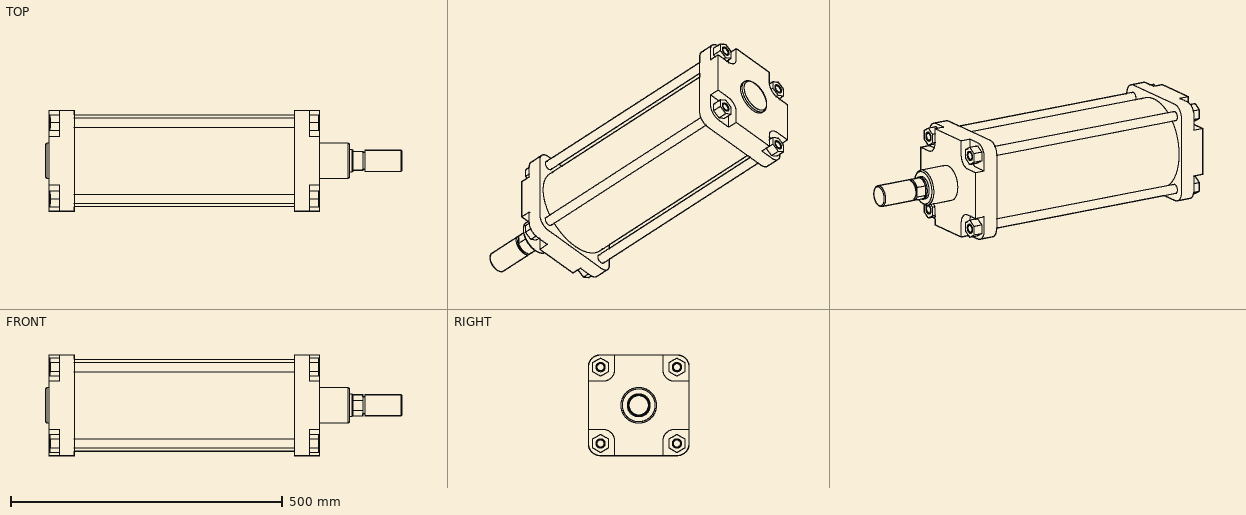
import cadquery as cq
import math

total_length = 658.0
plug_length = 6.5
cap_thickness = 47.0
barrel_length = 406.0
boss_length = 55.0

rear_cap_outer_x = plug_length
rear_cap_inner_x = rear_cap_outer_x + cap_thickness
front_cap_inner_x = rear_cap_inner_x + barrel_length
front_cap_outer_x = front_cap_inner_x + cap_thickness

cap_width = 186.0
corner_radius = 22.5
recess_size = 49.0
recess_depth = 19.0
recess_radius = 22.0
boss_radius = 33.0
boss_chamfer = 2.5

barrel_radius = 85.0

tie_rod_offset = 70.5
tie_rod_radius = 8.5
nut_across_flats = 29.0
nut_height = 2.6
socket_radius = 6.5
socket_depth = 1.5
counterbore_radius = 8.5
counterbore_depth = 0.1

rod_radius = 21.0
rod_shoulder_x = 567.0
shoulder_chamfer = 2.0
thread_radius = 20.0
thread_chamfer = 2.0
thread_start_x = 589.5
relief_radius = 16.0
relief_width = 4.0
flat_width = 35.0
flat_end_x = thread_start_x - relief_width

CORNERS = [(y, z) for y in (-1, 1) for z in (-1, 1)]


def plane_at(x):
    """YZ plane at the given X, with its normal along +X."""
    return cq.Workplane("YZ", origin=(x, 0, 0))


def end_cap(inner_x, outward, stub_length):
    """Square cap whose outer face carries four corner recesses and a round stub."""
    outer_x = inner_x + outward * cap_thickness
    cap = plane_at(inner_x).rect(cap_width, cap_width).extrude(outward * cap_thickness)
    cap = cap.edges("|X").fillet(corner_radius)

    recess_centre = cap_width / 2
    for y, z in CORNERS:
        recess = (
            plane_at(outer_x)
            .center(y * recess_centre, z * recess_centre)
            .rect(2 * recess_size, 2 * recess_size)
            .extrude(-outward * recess_depth)
            .edges("|X")
            .fillet(recess_radius)
        )
        cap = cap.cut(recess)

    stub = plane_at(outer_x).circle(boss_radius).extrude(outward * stub_length)
    stub = stub.faces(">X" if outward > 0 else "<X").chamfer(boss_chamfer)
    cap = cap.union(stub)

    holes = [(y * tie_rod_offset, z * tie_rod_offset) for y, z in CORNERS]
    tie_rod_holes = plane_at(inner_x).pushPoints(holes).circle(tie_rod_radius)
    return cap.cut(tie_rod_holes.extrude(outward * cap_thickness))


def make_front_cap():
    """Front cap with the rod bore through its boss."""
    bore_length = cap_thickness + boss_length
    bore = plane_at(front_cap_inner_x).circle(rod_radius).extrude(bore_length)
    return end_cap(front_cap_inner_x, 1, boss_length).cut(bore)


def make_barrel():
    """Plain round barrel between the inner faces of the caps."""
    return plane_at(rear_cap_inner_x).circle(barrel_radius).extrude(barrel_length)


def make_piston_rod():
    """Turned rod: shoulder, wrench section, relief groove and end thread."""
    profile = [
        (front_cap_inner_x, 0),
        (front_cap_inner_x, rod_radius),
        (rod_shoulder_x - shoulder_chamfer, rod_radius),
        (rod_shoulder_x, thread_radius),
        (flat_end_x, thread_radius),
        (flat_end_x, relief_radius),
        (thread_start_x, relief_radius),
        (thread_start_x, thread_radius),
        (total_length - thread_chamfer, thread_radius),
        (total_length, thread_radius - thread_chamfer),
        (total_length, 0),
    ]
    rod = cq.Workplane("XZ").polyline(profile).close().revolve(360, (0, 0, 0), (1, 0, 0))

    flat_length = flat_end_x - rod_shoulder_x
    for side in (-1, 1):
        flat_cut = plane_at(rod_shoulder_x).center(side * (flat_width + rod_radius) / 2, 0)
        rod = rod.cut(flat_cut.rect(rod_radius, 2 * rod_radius).extrude(flat_length))
    return rod


def make_tie_rod(y, z):
    """Rod with a hexagonal nut and a counterbored socket at each end."""
    rear_seat_x = rear_cap_outer_x + recess_depth
    front_seat_x = front_cap_outer_x - recess_depth
    across_corners = nut_across_flats / math.cos(math.radians(30))

    tie_rod = plane_at(rear_seat_x).center(y, z).circle(tie_rod_radius).extrude(front_seat_x - rear_seat_x)
    for seat_x, outward in ((rear_seat_x, -6.5), (front_seat_x, 6.5)):
        nut = plane_at(seat_x).center(y, z).transformed(rotate=(0, 0, 90))
        tie_rod = tie_rod.union(nut.polygon(6, across_corners).extrude(outward * nut_height))

        end_x = seat_x + outward * nut_height
        for radius, depth in ((socket_radius, socket_depth), (counterbore_radius, counterbore_depth)):
            hole = plane_at(end_x).center(y, z).circle(radius).extrude(-outward * depth)
            tie_rod = tie_rod.cut(hole)
    return tie_rod


rear_cap = end_cap(rear_cap_inner_x, -1, plug_length)
front_cap = make_front_cap()
barrel = make_barrel()
piston_rod = make_piston_rod()
tie_rods = [make_tie_rod(y * tie_rod_offset, z * tie_rod_offset) for y, z in CORNERS]

result = cq.Compound.makeCompound(
    [
        rear_cap.val(),
        front_cap.val(),
        barrel.val(),
        piston_rod.val(),
        *[tie_rod.val() for tie_rod in tie_rods],
    ]
)